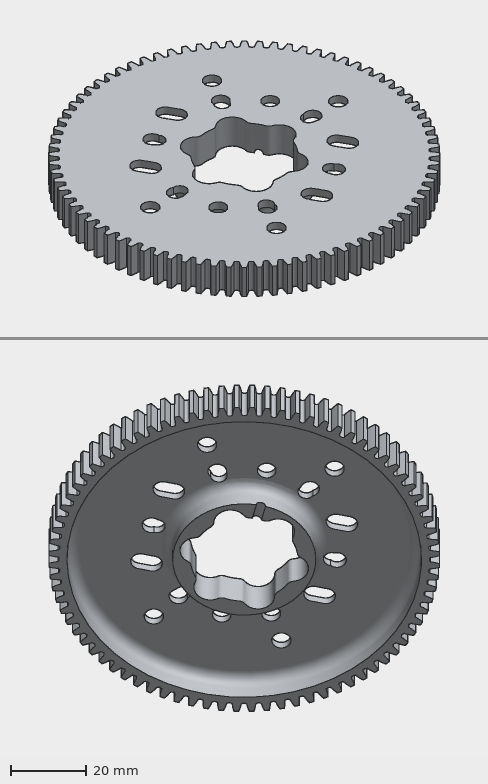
import cadquery as cq
import math

INCH = 25.4

TEETH = 80
DIAMETRAL_PITCH = 20
PRESSURE_ANGLE = math.radians(14.5)
ADDENDUM = INCH / DIAMETRAL_PITCH
DEDENDUM = 1.2 * ADDENDUM
PITCH_RADIUS = TEETH * ADDENDUM / 2
TIP_RADIUS = PITCH_RADIUS + ADDENDUM
ROOT_RADIUS = PITCH_RADIUS - DEDENDUM
BASE_RADIUS = PITCH_RADIUS * math.cos(PRESSURE_ANGLE)
FLANK_START_RADIUS = ROOT_RADIUS + 0.3 * ADDENDUM
FLANK_POINTS = 5
FACE_WIDTH = 0.375 * INCH

BORE_DIAMETER = 1.125 * INCH
LOBE_COUNT = 6
LOBE_DIAMETER = 8.8
LOBE_TIP_RADIUS = 0.6875 * INCH
LOBE_CIRCLE_RADIUS = LOBE_TIP_RADIUS - LOBE_DIAMETER / 2
LOBE_BLEND_RADIUS = 2.0

WEB_THICKNESS = 2.4
RECESS_DEPTH = FACE_WIDTH - WEB_THICKNESS
HUB_RADIUS = 0.75 * INCH
RIM_INNER_RADIUS = 47.2
RECESS_FILLET = 3.0

HUB_GROOVE_DIAMETER = 2.5

MAIN_CIRCLE_RADIUS = 1.0 * INCH
MAIN_HOLE_DIAMETER = 0.196 * INCH
PAIR_COUNT = 6
INNER_CIRCLE_RADIUS = 23.96
INNER_HOLE_DIAMETER = 4.4
OUTER_CIRCLE_RADIUS = 1.375 * INCH
OUTER_HOLE_ANGLE = math.radians(60)
CLEARANCE_HOLE_DIAMETER = 0.201 * INCH
LONG_SLOT_ANGLE = math.radians(30)


def polar(radius, angle):
    return (radius * math.cos(angle), radius * math.sin(angle))


def mirrored_points(x, y):
    """The point and its reflections in the X and Y axes."""
    return [(x, y), (-x, y), (-x, -y), (x, -y)]


def through_holes(points, diameter):
    return cq.Workplane("XY").pushPoints(points).circle(diameter / 2).extrude(FACE_WIDTH)


def involute(pressure_angle):
    return math.tan(pressure_angle) - pressure_angle


def tooth_half_angle(radius):
    """Half the angle a tooth spans at the given radius; flanks are radial below the base circle."""
    local_pressure_angle = math.acos(min(1, BASE_RADIUS / radius))
    return math.pi / (2 * TEETH) + involute(PRESSURE_ANGLE) - involute(local_pressure_angle)


def flank(tooth_center, side):
    """Points up one flank of a tooth; side is -1 or +1 around the tooth centre."""
    radius_step = (TIP_RADIUS - FLANK_START_RADIUS) / (FLANK_POINTS - 1)
    radii = [FLANK_START_RADIUS + i * radius_step for i in range(FLANK_POINTS)]
    return [polar(r, tooth_center + side * tooth_half_angle(r)) for r in radii]


def gear_blank():
    """Toothed disc with a tooth space on the +X axis and curved tooth roots."""
    tooth_pitch = 2 * math.pi / TEETH
    first_center = tooth_pitch / 2
    outline = cq.Workplane("XY").moveTo(*flank(first_center, -1)[0])
    for tooth in range(TEETH):
        center = first_center + tooth * tooth_pitch
        rising = flank(center, -1)
        falling = flank(center, 1)[::-1]
        next_start = flank(center + tooth_pitch, -1)[0]
        outline = outline.spline(rising[1:], includeCurrent=True)
        outline = outline.threePointArc(polar(TIP_RADIUS, center), falling[0])
        outline = outline.spline(falling[1:], includeCurrent=True)
        outline = outline.threePointArc(polar(ROOT_RADIUS, center + tooth_pitch / 2), next_start)
    return outline.close().extrude(FACE_WIDTH)


def lobed_bore():
    bore = through_holes([(0, 0)], BORE_DIAMETER)
    lobe_angles = [2 * math.pi * i / LOBE_COUNT for i in range(LOBE_COUNT)]
    lobes = through_holes([polar(LOBE_CIRCLE_RADIUS, a) for a in lobe_angles], LOBE_DIAMETER)
    return bore.union(lobes).edges("|Z").fillet(LOBE_BLEND_RADIUS)


def bottom_recess():
    ring = cq.Workplane("XY").circle(RIM_INNER_RADIUS).circle(HUB_RADIUS).extrude(RECESS_DEPTH)
    return ring.faces(">Z").edges().fillet(RECESS_FILLET)


def hub_groove():
    """Radial groove running out through the hub wall along +Y."""
    return cq.Workplane("XZ").circle(HUB_GROOVE_DIAMETER / 2).extrude(-HUB_RADIUS)


def paired_holes():
    """Overlapping pairs of holes, the smaller one nearer the bore."""
    angles = [2 * math.pi * i / PAIR_COUNT for i in range(PAIR_COUNT)]
    main_holes = through_holes([polar(MAIN_CIRCLE_RADIUS, a) for a in angles], MAIN_HOLE_DIAMETER)
    inner_holes = through_holes([polar(INNER_CIRCLE_RADIUS, a) for a in angles], INNER_HOLE_DIAMETER)
    return main_holes.union(inner_holes)


def long_slots():
    """Slots along X, from a point on the main circle outward to its radius."""
    inner_x, y = polar(MAIN_CIRCLE_RADIUS, LONG_SLOT_ANGLE)
    outer_x = MAIN_CIRCLE_RADIUS
    length = outer_x - inner_x + CLEARANCE_HOLE_DIAMETER
    centers = mirrored_points((inner_x + outer_x) / 2, y)
    slots = cq.Workplane("XY").pushPoints(centers).slot2D(length, CLEARANCE_HOLE_DIAMETER)
    return slots.extrude(FACE_WIDTH)


def round_holes():
    main_points = [(0, MAIN_CIRCLE_RADIUS), (0, -MAIN_CIRCLE_RADIUS)]
    outer_points = mirrored_points(*polar(OUTER_CIRCLE_RADIUS, OUTER_HOLE_ANGLE))
    main_holes = through_holes(main_points, MAIN_HOLE_DIAMETER)
    outer_holes = through_holes(outer_points, CLEARANCE_HOLE_DIAMETER)
    return main_holes.union(outer_holes)


result = (
    gear_blank()
    .cut(bottom_recess())
    .cut(lobed_bore())
    .cut(hub_groove())
    .cut(paired_holes())
    .cut(long_slots())
    .cut(round_holes())
)